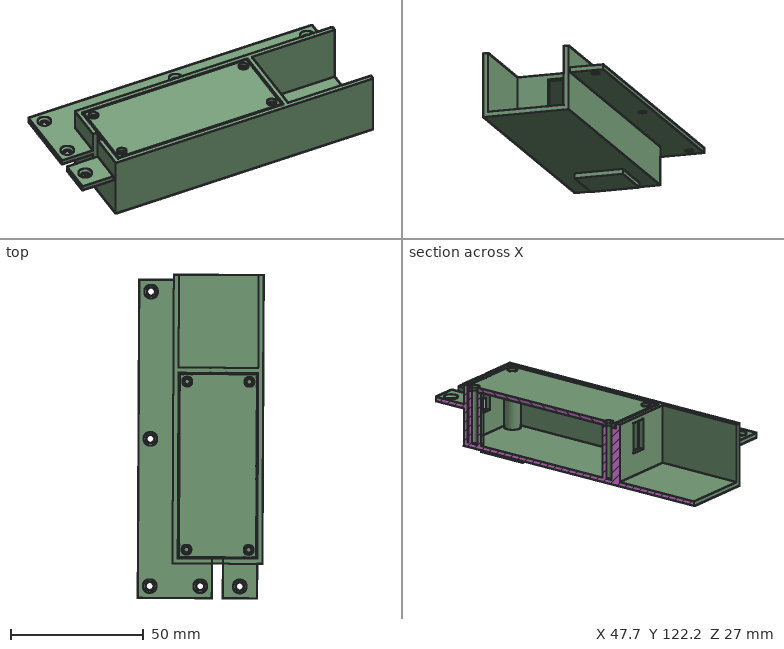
import cadquery as cq

TURN_ANGLE = -0.27
WALL = 2.0

BODY_WIDTH = 34.0
BODY_LENGTH = 109.0
BODY_HEIGHT = 25.0
BAY_LENGTH = 35.0

FLANGE_REACH = 13.1
FLANGE_TOP_DROP = 8.1
FLANGE_HOLE_INSET = 4.5
FRONT_HOLE_OFFSETS = (0, 19.0, 34.0)

FLANGE_HOLE = 3.0
FLANGE_SINK = 5.1
LID_HOLE = 2.2
LID_SINK = 3.7

SLOT_WIDTH = 4.0
SLOT_DEPTH = 14.0
WINDOW_WIDTH = 6.0

LID_GAP = 0.5
POST_DIAMETER = 6.4
LID_HOLE_INSET = 3.3
TAB_WIDTH = 5.0
TAB_REACH = 2.0

PAD_WIDTH = 19.2
PAD_LENGTH = 19.7
PAD_CENTRE_X = 16.0
PAD_FRONT_GAP = 5.9

CHAMBER_LENGTH = BODY_LENGTH - BAY_LENGTH - 2 * WALL
CHAMBER_REAR = WALL + CHAMBER_LENGTH
LID_BOTTOM = BODY_HEIGHT - WALL
FLANGE_TOP = BODY_HEIGHT - FLANGE_TOP_DROP
SLOT_BOTTOM = BODY_HEIGHT - SLOT_DEPTH
POST_CENTRES = [
    (x, y)
    for x in (WALL + LID_HOLE_INSET, BODY_WIDTH - WALL - LID_HOLE_INSET)
    for y in (WALL + LID_HOLE_INSET, CHAMBER_REAR - LID_HOLE_INSET)
]


def block(x_range, y_range, z_range):
    """Box between the given lower and upper limits on each axis."""
    lows, highs = zip(x_range, y_range, z_range)
    sides = [high - low for low, high in zip(lows, highs)]
    return cq.Workplane("XY").box(*sides, centered=False).translate(lows)


def centred_x(width):
    """X limits of a width centred on the housing."""
    return (BODY_WIDTH - width) / 2, (BODY_WIDTH + width) / 2


def flange_hole_centres():
    """One hole row along the front edge and one along the left edge, sharing the corner hole."""
    left = FLANGE_HOLE_INSET - FLANGE_REACH
    rear = BODY_LENGTH - WALL - FLANGE_HOLE_INSET
    front_row = [(left + offset, left) for offset in FRONT_HOLE_OFFSETS]
    left_row = [(left, (left + rear) / 2), (left, rear)]
    return front_row + left_row


def sunk_holes(centres, top, hole, sink):
    """Cutters for 90 degree countersunk holes through a plate one wall thick, upper face at top."""
    sink_depth = (sink - hole) / 2
    profile = [(0, 0), (sink / 2, 0), (hole / 2, -sink_depth), (hole / 2, -WALL), (0, -WALL)]
    cutter = cq.Workplane("XZ").polyline(profile).close().revolve(360, (0, 0, 0), (0, 1, 0)).val()
    places = cq.Workplane("XY", origin=(0, 0, top)).pushPoints(centres)
    return places.eachpoint(lambda place: cutter.moved(place))


def make_flange():
    return block(
        (-FLANGE_REACH, BODY_WIDTH - WALL),
        (-FLANGE_REACH, BODY_LENGTH - WALL),
        (FLANGE_TOP - WALL, FLANGE_TOP),
    )


def make_support_tab(wall_x, inward):
    """Wedge on a side wall: full reach at the lid's underside, tapering to nothing below.

    Its rear face lies halfway along the chamber.
    """
    mid_y = WALL + CHAMBER_LENGTH / 2
    tip_x = wall_x + inward * TAB_REACH
    outline = [(wall_x, LID_BOTTOM), (tip_x, LID_BOTTOM), (wall_x, LID_BOTTOM - TAB_REACH)]
    return cq.Workplane("XZ", origin=(0, mid_y, 0)).polyline(outline).close().extrude(TAB_WIDTH)


def make_housing():
    housing = block((0, BODY_WIDTH), (0, BODY_LENGTH), (0, BODY_HEIGHT)).union(make_flange())

    inside_x = (WALL, BODY_WIDTH - WALL)
    inside_z = (WALL, BODY_HEIGHT)
    housing = housing.cut(block(inside_x, (WALL, CHAMBER_REAR), inside_z))
    housing = housing.cut(block(inside_x, (CHAMBER_REAR + WALL, BODY_LENGTH), inside_z))

    front_y = (-FLANGE_REACH, WALL)
    partition_y = (CHAMBER_REAR, CHAMBER_REAR + WALL)
    housing = housing.cut(block(centred_x(SLOT_WIDTH), front_y, (SLOT_BOTTOM, BODY_HEIGHT)))
    housing = housing.cut(block(centred_x(WINDOW_WIDTH), partition_y, (SLOT_BOTTOM, LID_BOTTOM)))

    posts = cq.Workplane("XY", origin=(0, 0, WALL)).pushPoints(POST_CENTRES)
    housing = housing.union(posts.circle(POST_DIAMETER / 2).extrude(LID_BOTTOM - WALL))
    for wall_x, inward in ((WALL, 1), (BODY_WIDTH - WALL, -1)):
        housing = housing.union(make_support_tab(wall_x, inward))
    housing = housing.cut(posts.circle(LID_HOLE / 2).extrude(LID_BOTTOM - WALL))

    housing = housing.cut(sunk_holes(flange_hole_centres(), FLANGE_TOP, FLANGE_HOLE, FLANGE_SINK))

    pad_x = (PAD_CENTRE_X - PAD_WIDTH / 2, PAD_CENTRE_X + PAD_WIDTH / 2)
    return housing.union(block(pad_x, (PAD_FRONT_GAP, PAD_FRONT_GAP + PAD_LENGTH), (-WALL, 0)))


def make_lid():
    lid = block(
        (WALL + LID_GAP, BODY_WIDTH - WALL - LID_GAP),
        (WALL + LID_GAP, CHAMBER_REAR - LID_GAP),
        (LID_BOTTOM, BODY_HEIGHT),
    )
    return lid.cut(sunk_holes(POST_CENTRES, BODY_HEIGHT, LID_HOLE, LID_SINK))


def turned(body):
    return body.rotate((0, 0, 0), (0, 0, 1), TURN_ANGLE).val()


result = cq.Compound.makeCompound([turned(make_housing()), turned(make_lid())])